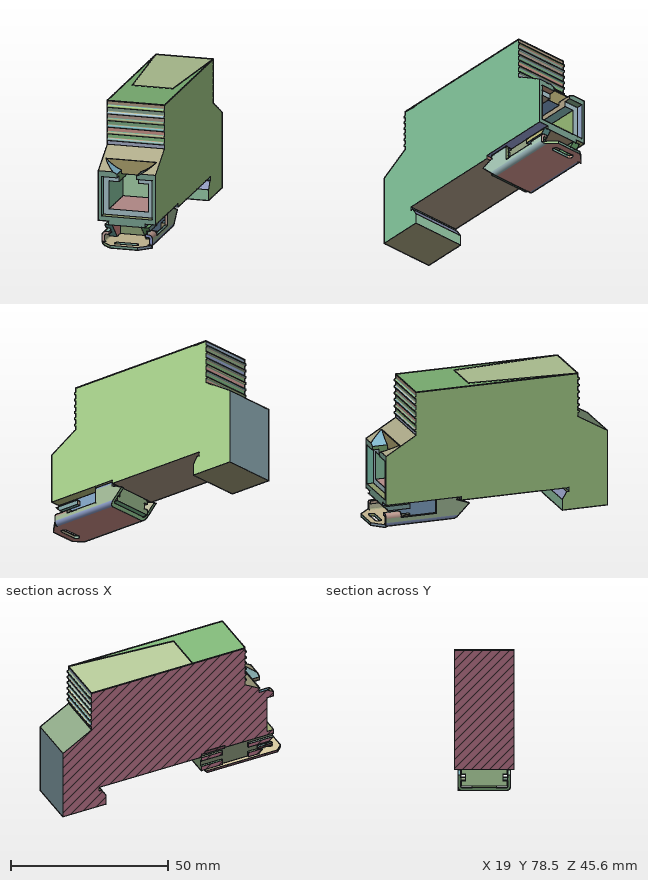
import cadquery as cq
import math


WIDTH = 19.0
HEIGHT = 45.6
BACK_Y = 78.5
FRONT_Y = 3.45
SHOULDER_DEPTH = 10.1
SHOULDER_LOW_Z = 25.05
SHOULDER_HIGH_Z = 31.0
UNDERSIDE_Z = 7.4
UPPER_FRONT_Y = FRONT_Y + SHOULDER_DEPTH
UPPER_BACK_Y = BACK_Y - SHOULDER_DEPTH

NOTCH_Y = 65.5
NOTCH_Z = 6.1
HOOK_RAMP_Y = 64.7
HOOK_TIP_Y = 63.1
HOOK_TIP_Z = 3.6

RIB_NOSE_RADIUS = 0.35
RIB_ROOT_RADIUS = 0.2
RIB_COUNT = 6
RIB_PITCH = 2.2
RIB_TOP_Z = 43.65

FOOT_BACK_Y = 29.2
GROOVE_BACK_Y = 29.0
FOOT_BOTTOM_Z = 2.1
RAIL_HALF = 7.3
NECK_HALF = 6.05
GROOVE_ROOF_Z = 8.55
FRONT_RAIL_BACK_Y = 12.4
REAR_RAIL_FRONT_Y = 21.6
UPPER_RAIL_BOTTOM_Z = 5.9
LOWER_RAIL_TOP_Z = 3.9
FOOT_RECESS_HALF = 4.8

SHEET = 0.95
BEND_RADIUS = 1.4
CLIP_HALF = 8.4
CLIP_BOTTOM_Z = 0.7
FLANGE_FRONT_Y = 3.85
FRONT_LIP_BACK_Y = 9.0
FRONT_LIP_TOP_Z = 5.0
SILL_Z = 3.5
REAR_LIP_FRONT_Y = 20.9
REAR_LIP_BACK_Y = 27.9
REAR_LIP_TOP_Z = 9.3
REAR_LIP_FOOT_Z = 7.3
LATCH_TIP_Y = 32.0
LATCH_TIP_Z = 5.7
TAB_TIP_HALF = 4.6
SLOT_HALF = 3.9
SLOT_FRONT_Y = 2.1
SLOT_WIDTH = 2.05
SLOT_CORNER = 0.95
RAMP_HALF = 3.9
RAMP_FRONT_Y = 15.7
INNER_BEND_RADIUS = BEND_RADIUS - SHEET
CLIP_INNER_HALF = CLIP_HALF - SHEET
FLOOR_Z = CLIP_BOTTOM_Z + SHEET

BAY_HALF = 8.4
BAY_BOTTOM_Z = 10.1
BAY_TOP_Z = 23.15
BAY_BACK_Y = 5.65
PORT_HALF = 6.5
PORT_BOTTOM_Z = 12.0
PORT_TOP_Z = 21.3
PORT_DEPTH = 15.7
KEY_HALF = 3.2
FUNNEL_BACK_Y = 8.5
FUNNEL_LOW_Z = 24.3
FUNNEL_TOP_Z = 27.9
FUNNEL_ARC_X = 5.6
FUNNEL_ARC_Z = 25.6

COVER_THICKNESS = 0.2
HOUSING_TOP_Z = HEIGHT - COVER_THICKNESS
LABEL_FRONT_Y = 32.35
LABEL_FRONT_HALF = 6.75


def block(x0, x1, y0, y1, z0, z1):
    """Axis-aligned box between two corners."""
    return cq.Workplane("XY").box(x1 - x0, y1 - y0, z1 - z0, centered=False).translate((x0, y0, z0))


def side_profile(points, width):
    """Extrude a closed (Y, Z) outline symmetrically across X."""
    return cq.Workplane("YZ").polyline(points).close().extrude(width / 2, both=True)


def both_sides(shape):
    """Join a shape with its mirror image across the middle plane."""
    return shape.union(shape.mirror("YZ"))


def make_label():
    """Tapered label, flush with the cover sheet around it."""
    outline = [
        (-LABEL_FRONT_HALF, LABEL_FRONT_Y),
        (LABEL_FRONT_HALF, LABEL_FRONT_Y),
        (WIDTH / 2, UPPER_BACK_Y),
        (-WIDTH / 2, UPPER_BACK_Y),
    ]
    sketch = cq.Workplane("XY").workplane(offset=HOUSING_TOP_Z).polyline(outline).close()
    return sketch.extrude(COVER_THICKNESS)


def make_cover(label):
    """Thin sheet over the whole top of the housing, cut out around the label."""
    sheet = block(-WIDTH / 2, WIDTH / 2, UPPER_FRONT_Y, UPPER_BACK_Y, HOUSING_TOP_Z, HEIGHT)
    return sheet.cut(label)


def clip_channel(y0, y1, top_z):
    """U-shaped length of the clip with rounded outer bends along the floor."""
    outer = block(-CLIP_HALF, CLIP_HALF, y0, y1, CLIP_BOTTOM_Z, top_z)
    outer = outer.edges("|Y and <Z").fillet(BEND_RADIUS)
    inner = block(-CLIP_INNER_HALF, CLIP_INNER_HALF, y0, y1, FLOOR_Z, top_z)
    return outer.cut(inner.edges("|Y and <Z").fillet(INNER_BEND_RADIUS))


def lipped_channel(y0, y1, lip_top_z):
    """Clip channel whose flanges bend inward into lips that reach the foot."""
    outer = block(-CLIP_HALF, CLIP_HALF, y0, y1, CLIP_BOTTOM_Z, lip_top_z)
    outer = outer.edges("|Y").fillet(BEND_RADIUS)
    inner = block(-CLIP_INNER_HALF, CLIP_INNER_HALF, y0, y1, FLOOR_Z, lip_top_z - SHEET)
    inner = inner.edges("|Y").fillet(INNER_BEND_RADIUS)
    mouth = block(-NECK_HALF, NECK_HALF, y0, y1, FLOOR_Z, lip_top_z)
    return outer.cut(inner).cut(mouth)


def clip_latch():
    """Rear length of the clip: lipped channel trimmed to the pointed latch profile."""
    latch_slope_run = LATCH_TIP_Z - CLIP_BOTTOM_Z
    profile = [
        (REAR_LIP_FRONT_Y, CLIP_BOTTOM_Z),
        (LATCH_TIP_Y - latch_slope_run, CLIP_BOTTOM_Z),
        (LATCH_TIP_Y, LATCH_TIP_Z),
        (REAR_LIP_BACK_Y, REAR_LIP_FOOT_Z),
        (REAR_LIP_BACK_Y, REAR_LIP_TOP_Z),
        (REAR_LIP_FRONT_Y, REAR_LIP_TOP_Z),
    ]
    channel = lipped_channel(REAR_LIP_FRONT_Y, LATCH_TIP_Y, REAR_LIP_TOP_Z)
    return channel.intersect(side_profile(profile, 2 * CLIP_HALF))


def clip_tab():
    """Flat pull tab with 45 degree front corners; the bend runs on along its -X edge only."""
    tab = block(-CLIP_HALF, CLIP_HALF, 0, FLANGE_FRONT_Y, CLIP_BOTTOM_Z, FLOOR_Z)
    bend = block(-CLIP_HALF, CLIP_HALF, 0, FLANGE_FRONT_Y, CLIP_BOTTOM_Z, SILL_Z)
    bend = bend.edges("|Y and <X and <Z").fillet(BEND_RADIUS)
    return tab.edges("|Z and <Y").chamfer(CLIP_HALF - TAB_TIP_HALF).intersect(bend)


def clip_slot():
    """Screwdriver slot through the tab."""
    slot_back = SLOT_FRONT_Y + SLOT_WIDTH
    slot = block(-SLOT_HALF, SLOT_HALF, SLOT_FRONT_Y, slot_back, CLIP_BOTTOM_Z, FLOOR_Z)
    return slot.edges("|Z").fillet(SLOT_CORNER)


def clip_ramp():
    """Low 45 degree ramp on the clip floor, as tall as the gap under the foot."""
    height = FOOT_BOTTOM_Z - FLOOR_Z
    profile = [
        (RAMP_FRONT_Y, FLOOR_Z),
        (RAMP_FRONT_Y + height, FLOOR_Z + height),
        (RAMP_FRONT_Y + height, FLOOR_Z),
    ]
    return side_profile(profile, 2 * RAMP_HALF)


def make_clip():
    clip = clip_tab()
    clip = clip.union(lipped_channel(FLANGE_FRONT_Y, FRONT_LIP_BACK_Y, FRONT_LIP_TOP_Z))
    clip = clip.union(clip_channel(FRONT_LIP_BACK_Y, REAR_LIP_FRONT_Y, SILL_Z))
    clip = clip.union(clip_latch()).union(clip_ramp())
    return clip.cut(clip_slot())


def housing_block():
    """Stepped housing outline with the fixed rail hook."""
    outline = [
        (FRONT_Y, UNDERSIDE_Z),
        (FRONT_Y, SHOULDER_LOW_Z),
        (UPPER_FRONT_Y, SHOULDER_HIGH_Z),
        (UPPER_FRONT_Y, HOUSING_TOP_Z),
        (UPPER_BACK_Y, HOUSING_TOP_Z),
        (UPPER_BACK_Y, SHOULDER_HIGH_Z),
        (BACK_Y, SHOULDER_LOW_Z),
        (BACK_Y, 0),
        (HOOK_TIP_Y, 0),
        (HOOK_TIP_Y, HOOK_TIP_Z),
        (HOOK_RAMP_Y, NOTCH_Z),
        (NOTCH_Y, NOTCH_Z),
        (NOTCH_Y, UNDERSIDE_Z),
    ]
    return side_profile(outline, WIDTH)


def grip_rib(wall_y, rib_z, outward):
    """Rounded rib along X with blended roots; outward is the sign of Y it points to."""
    diagonal = math.sqrt(0.5)
    root_half = RIB_NOSE_RADIUS + RIB_ROOT_RADIUS
    nose_y = wall_y + outward * RIB_ROOT_RADIUS
    tip_y = nose_y + outward * RIB_NOSE_RADIUS
    root_mid_y = wall_y + outward * RIB_ROOT_RADIUS * (1 - diagonal)
    root_mid_half = root_half - RIB_ROOT_RADIUS * diagonal
    profile = (
        cq.Workplane("YZ")
        .moveTo(wall_y, rib_z - root_half)
        .threePointArc((root_mid_y, rib_z - root_mid_half), (nose_y, rib_z - RIB_NOSE_RADIUS))
        .threePointArc((tip_y, rib_z), (nose_y, rib_z + RIB_NOSE_RADIUS))
        .threePointArc((root_mid_y, rib_z + root_mid_half), (wall_y, rib_z + root_half))
        .close()
    )
    return profile.extrude(WIDTH / 2, both=True)


def add_grip_ribs(housing):
    """Ribs across the front and back of the upper block."""
    for index in range(RIB_COUNT):
        rib_z = RIB_TOP_Z - index * RIB_PITCH
        housing = housing.union(grip_rib(UPPER_FRONT_Y, rib_z, -1))
        housing = housing.union(grip_rib(UPPER_BACK_Y, rib_z, 1))
    return housing


def foot_rails(y0, y1):
    """Upper and lower guide rails on both sides of the foot, over one length."""
    upper = block(NECK_HALF, RAIL_HALF, y0, y1, UPPER_RAIL_BOTTOM_Z, UNDERSIDE_Z)
    lower = block(NECK_HALF, RAIL_HALF, y0, y1, FOOT_BOTTOM_Z, LOWER_RAIL_TOP_Z)
    return both_sides(upper.union(lower))


def guide_foot():
    """Foot with a 45 degree nose, side rails and a central front recess."""
    nose_run = UNDERSIDE_Z - FOOT_BOTTOM_Z
    outline = [
        (FRONT_Y, UNDERSIDE_Z),
        (FRONT_Y + nose_run, FOOT_BOTTOM_Z),
        (FOOT_BACK_Y, FOOT_BOTTOM_Z),
        (FOOT_BACK_Y, UNDERSIDE_Z),
    ]
    foot = block(-NECK_HALF, NECK_HALF, FRONT_Y, FOOT_BACK_Y, FOOT_BOTTOM_Z, UNDERSIDE_Z)
    foot = foot.union(foot_rails(FRONT_Y, FRONT_RAIL_BACK_Y))
    foot = foot.union(foot_rails(REAR_RAIL_FRONT_Y, FOOT_BACK_Y))
    foot = foot.intersect(side_profile(outline, 2 * RAIL_HALF))
    recess = block(
        -FOOT_RECESS_HALF, FOOT_RECESS_HALF, FRONT_Y, FRONT_RAIL_BACK_Y, FOOT_BOTTOM_Z, UNDERSIDE_Z
    )
    return foot.cut(recess)


def flange_grooves():
    """Side grooves in the underside, each with a deeper pocket for the rear lip of the clip."""
    groove = block(NECK_HALF, WIDTH / 2, FRONT_Y, GROOVE_BACK_Y, UNDERSIDE_Z, GROOVE_ROOF_Z)
    lip_pocket = block(NECK_HALF, CLIP_HALF, REAR_LIP_FRONT_Y, REAR_LIP_BACK_Y, UNDERSIDE_Z, REAR_LIP_TOP_Z)
    return both_sides(groove.union(lip_pocket))


def jack_socket():
    """Plug port with a key slot on top, behind a shallow front recess."""
    port_back = BAY_BACK_Y + PORT_DEPTH
    bay = block(-BAY_HALF, BAY_HALF, FRONT_Y, BAY_BACK_Y, BAY_BOTTOM_Z, BAY_TOP_Z)
    port = block(-PORT_HALF, PORT_HALF, BAY_BACK_Y, port_back, PORT_BOTTOM_Z, PORT_TOP_Z)
    key = block(-KEY_HALF, KEY_HALF, BAY_BACK_Y, port_back, PORT_TOP_Z, BAY_TOP_Z)
    return bay.union(port).union(key)


def funnel():
    """Flared finger opening above the jack for the plug latch."""
    opening = (
        cq.Workplane("XZ", origin=(0, FRONT_Y, 0))
        .moveTo(-KEY_HALF, BAY_TOP_Z)
        .lineTo(KEY_HALF, BAY_TOP_Z)
        .lineTo(KEY_HALF, FUNNEL_LOW_Z)
        .threePointArc((FUNNEL_ARC_X, FUNNEL_ARC_Z), (BAY_HALF, FUNNEL_TOP_Z))
        .lineTo(-BAY_HALF, FUNNEL_TOP_Z)
        .threePointArc((-FUNNEL_ARC_X, FUNNEL_ARC_Z), (-KEY_HALF, FUNNEL_LOW_Z))
        .close()
    )
    return opening.extrude(FRONT_Y - FUNNEL_BACK_Y)


def make_housing():
    housing = add_grip_ribs(housing_block()).cut(flange_grooves()).union(guide_foot())
    return housing.cut(jack_socket()).cut(funnel())


label = make_label()
cover = make_cover(label)
clip = make_clip()
housing = make_housing()

bodies = [housing, cover, clip, label]
result = cq.Compound.makeCompound([solid for body in bodies for solid in body.solids().vals()])